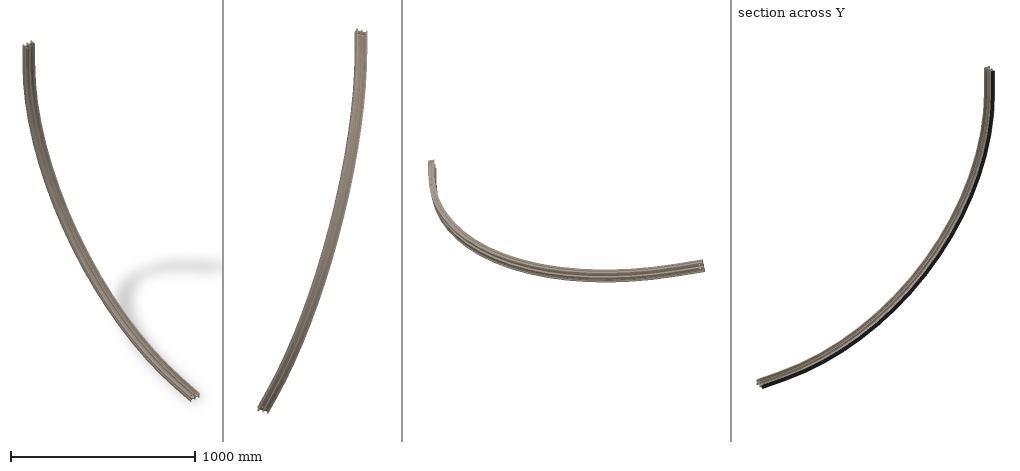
import cadquery as cq
import math

RAIL_WIDTH = 61.0
RAIL_DEPTH = 34.5
BEND_RADIUS = 1350.0
STRAIGHT_LENGTH = 150.0

WEB_THICKNESS = 6.0
RIB_THICKNESS = 3.0
SIDE_WALL = 3.5
LIP_WIDTH = 6.5
LIP_THICKNESS = 3.5
CORE_WIDTH = 8.0
CORE_DEPTH = 13.0
GROOVE_WIDTH = 5.0
GROOVE_DEPTH = 4.0

END_HOLE_DIAMETER = 10.0
END_HOLE_SETBACK = 22.0
HOLE_OFFSET = 11.5
SMALL_HOLE_DIAMETER = 6.0
SMALL_HOLE_SETBACK = 100.0

half_depth = RAIL_DEPTH / 2
end_position = half_depth + BEND_RADIUS + STRAIGHT_LENGTH
bend_start = end_position - STRAIGHT_LENGTH


def centre_line():
    """Vertical leg, quarter bend and horizontal leg at mid-depth."""
    mid_bend = bend_start - BEND_RADIUS * math.cos(math.radians(45))
    return (
        cq.Workplane("XZ")
        .moveTo(half_depth, end_position)
        .lineTo(half_depth, bend_start)
        .threePointArc((mid_bend, mid_bend), (bend_start, half_depth))
        .lineTo(end_position, half_depth)
    )


def add_at_sides(profile, depth, width, shift=0.0, mode="a"):
    """Add or cut a rectangle lying against the outside of both side walls."""
    centre = (RAIL_WIDTH - width) / 2
    return profile.push([(shift, centre), (shift, -centre)]).rect(depth, width, mode=mode).reset()


def cross_section():
    """Web and centre rib between two lipped, grooved side walls."""
    lip_shift = (RAIL_DEPTH - LIP_THICKNESS) / 2
    profile = cq.Sketch().rect(WEB_THICKNESS, RAIL_WIDTH).rect(RAIL_DEPTH, RIB_THICKNESS)
    profile = add_at_sides(profile, RAIL_DEPTH, SIDE_WALL)
    profile = add_at_sides(profile, CORE_DEPTH, CORE_WIDTH)
    for shift in (-lip_shift, lip_shift):
        profile = add_at_sides(profile, LIP_THICKNESS, LIP_WIDTH, shift)
    profile = profile.clean()
    return add_at_sides(profile, GROOVE_WIDTH, GROOVE_DEPTH, mode="s")


def rail():
    return (
        cq.Workplane("XY", origin=(half_depth, 0, end_position))
        .placeSketch(cross_section())
        .sweep(centre_line())
    )


def web_hole(diameter, setback, offset, leg):
    """Cutter through the web, measured back from the free end of a leg."""
    along = end_position - setback
    if leg == "vertical":
        plane = cq.Workplane("YZ").center(offset, along)
    else:
        plane = cq.Workplane("XY").center(along, offset)
    return plane.circle(diameter / 2).extrude(RAIL_DEPTH)


result = rail()
for leg in ("vertical", "horizontal"):
    for side in (-1, 1):
        result = result.cut(web_hole(END_HOLE_DIAMETER, END_HOLE_SETBACK, side * HOLE_OFFSET, leg))
    result = result.cut(web_hole(SMALL_HOLE_DIAMETER, SMALL_HOLE_SETBACK, HOLE_OFFSET, leg))